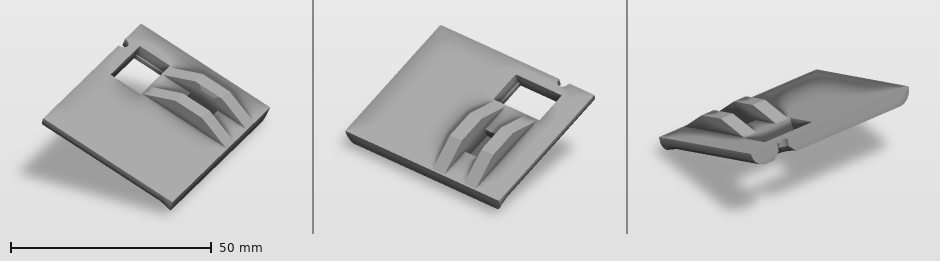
import cadquery as cq
import math

tilt = 20.0
length = 39.15
width = 50.2
thickness = 4.0

edge_radius = 3.95
flare_length = 3.35
flare_inset = 1.55
flare_land = 1.05

feature_y = 10.15
window_start = 4.0
window_end = 13.2
window_upper_width = 15.05
window_lower_width = 14.1
ledge_depth = 2.9

rib_start = 13.55
rib_crest_start = 22.0
rib_crest_end = 30.05
rib_end = 38.75
rib_height = 4.0
rib_root = 0.5
channel_width = 6.3
rib_width = (window_lower_width - channel_width) / 2

pocket_start = 22.1
pocket_end = 30.25
pocket_depth = 2.5
screw_diameter = 3.8
pocket_centre = (pocket_start + pocket_end) / 2

catch_start = 23.3
catch_end = 29.25
catch_height = 2.1
catch_reach = 0.35
catch_end_slope = 1.1

notch_x = 0.15
notch_y = 15.2
notch_radius = 1.65
sink_radius = 3.55
sink_depth = sink_radius - notch_radius


def plate_section(x, inset, land):
    """Plate cross-section at x: a straight side of height land, then an arc to the bottom."""
    half = width / 2
    drop = thickness - land
    radius = (inset**2 + drop**2) / (2 * inset)
    half_sweep = math.asin(drop / radius) / 2
    middle_y = half - radius * (1 - math.cos(half_sweep))
    middle_z = -land - radius * math.sin(half_sweep)
    return (
        cq.Workplane("YZ", origin=(x, 0, 0))
        .moveTo(-half, 0)
        .lineTo(half, 0)
        .lineTo(half, -land)
        .threePointArc((middle_y, middle_z), (half - inset, -thickness))
        .lineTo(inset - half, -thickness)
        .threePointArc((-middle_y, middle_z), (-half, -land))
        .close()
    )


def make_plate():
    flare_start = length - flare_length
    edge_land = thickness - edge_radius
    straight = plate_section(0, edge_radius, edge_land).extrude(flare_start)
    sections = [
        plate_section(flare_start, edge_radius, edge_land).wire().val(),
        plate_section(length, flare_inset, flare_land).wire().val(),
    ]
    flare = cq.Solid.makeLoft(sections, True)
    return straight.union(cq.Workplane(flare))


def recess(x_start, x_end, y_width, depth):
    """Box centred on the feature line, reaching down from the top face."""
    return (
        cq.Workplane("XY", origin=(x_start, feature_y, -depth))
        .box(x_end - x_start, y_width, depth, centered=(False, True, False))
    )


def make_rib(y_start):
    profile = [(rib_start, 0), (rib_crest_start, rib_height), (rib_crest_end, rib_height), (rib_end, 0)]
    root = [(rib_end, -rib_root), (rib_start, -rib_root)]
    return cq.Workplane("XZ", origin=(0, y_start, 0)).polyline(profile + root).close().extrude(-rib_width)


def make_catch():
    """Wedge sloping out from the rib crest to a flat nose, with slanted ends."""
    outline = [(0, 0), (-catch_reach, -catch_height / 2), (-catch_reach, -catch_height), (0, -catch_height)]
    wall_y = feature_y + channel_width / 2
    catch = (
        cq.Workplane("YZ", origin=(catch_start, wall_y, rib_height))
        .polyline(outline)
        .close()
        .extrude(catch_end - catch_start)
    )
    plan = (
        cq.Workplane("XY", origin=(0, wall_y, rib_height - catch_height))
        .polyline([
            (catch_start, 0),
            (catch_end, 0),
            (catch_end - catch_end_slope, -catch_reach),
            (catch_start + catch_end_slope, -catch_reach),
        ])
        .close()
        .extrude(catch_height)
    )
    return catch.intersect(plan)


def make_notch():
    """Straight hole opening into a 45 degree countersink at the bottom face."""
    return (
        cq.Workplane("XZ", origin=(notch_x, notch_y, 0))
        .polyline([
            (0, 0),
            (notch_radius, 0),
            (notch_radius, sink_depth - thickness),
            (sink_radius, -thickness),
            (0, -thickness),
        ])
        .close()
        .revolve(360, (0, 0), (0, 1))
    )


part = make_plate()
for rib_y in (feature_y - window_lower_width / 2, feature_y + channel_width / 2):
    part = part.union(make_rib(rib_y))
part = part.union(make_catch())

part = part.cut(recess(window_start, window_end, window_upper_width, ledge_depth))
part = part.cut(recess(window_start, window_end, window_lower_width, thickness))
part = part.cut(recess(pocket_start, pocket_end, channel_width, pocket_depth))
screw_hole = cq.Workplane("XY").center(pocket_centre, feature_y).circle(screw_diameter / 2).extrude(-thickness)
part = part.cut(screw_hole)
part = part.cut(make_notch())

result = part.rotate((0, 0, 0), (0, 1, 0), tilt)